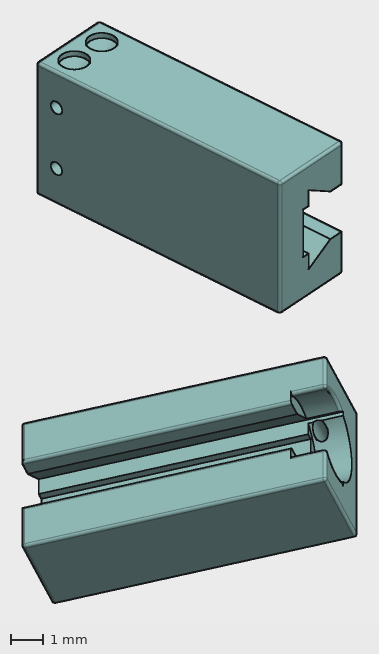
import cadquery as cq
import math

LENGTH = 10.0
WIDTH = 3.0
HEIGHT = 5.0
EDGE_RADIUS = 0.1

MOUTH_HALF_HEIGHT = 0.9
MOUTH_END_Y = 0.9
DOVETAIL_ANGLE = 30.0
DOVETAIL_BASE_Y = -0.13
GROOVE_FLOOR_Y = -0.38

SEAT_RADIUS = 1.5
SEAT_CENTRE_Y = 0.55
SEAT_DEPTH = 1.15

HOLE_INSET = 0.84

DIMPLE_SPACING = 1.3
DIMPLE_RADIUS = 0.5
DIMPLE_WALL_DEPTH = 0.2
DIMPLE_POINT_ANGLE = 118.0

CROSS_HOLE_SPACING = 2.3
CROSS_HOLE_RADIUS = 0.23

OUTER_Y = WIDTH / 2
FRONT_X = -LENGTH / 2
HOLE_X = FRONT_X + HOLE_INSET
TOLERANCE = 1e-3


def make_channel():
    """Dovetail channel with a shallow relief groove in its floor."""
    base_half_height = MOUTH_HALF_HEIGHT + (MOUTH_END_Y - DOVETAIL_BASE_Y) * math.tan(
        math.radians(DOVETAIL_ANGLE)
    )
    upper = [
        (OUTER_Y, MOUTH_HALF_HEIGHT),
        (MOUTH_END_Y, MOUTH_HALF_HEIGHT),
        (DOVETAIL_BASE_Y, base_half_height),
        (DOVETAIL_BASE_Y, MOUTH_HALF_HEIGHT),
        (GROOVE_FLOOR_Y, MOUTH_HALF_HEIGHT),
    ]
    lower = [(y, -z) for y, z in reversed(upper)]
    return cq.Workplane("YZ").polyline(upper + lower).close().extrude(LENGTH / 2, both=True)


def make_seat():
    """Cylinder along X, removed from the -X end."""
    return (
        cq.Workplane("YZ", origin=(FRONT_X, SEAT_CENTRE_Y, 0))
        .circle(SEAT_RADIUS)
        .extrude(SEAT_DEPTH)
    )


def make_dimple(y):
    """Short cylinder with a drill point, sunk from the top face."""
    point_depth = DIMPLE_RADIUS / math.tan(math.radians(DIMPLE_POINT_ANGLE / 2))
    return (
        cq.Workplane("XZ")
        .polyline(
            [
                (0, 0),
                (DIMPLE_RADIUS, 0),
                (DIMPLE_RADIUS, -DIMPLE_WALL_DEPTH),
                (0, -DIMPLE_WALL_DEPTH - point_depth),
            ]
        )
        .close()
        .revolve(360, (0, 0), (0, 1))
        .translate((HOLE_X, y, HEIGHT / 2))
    )


def make_cross_hole(z):
    """Round hole along Y, ending inside the seat."""
    return (
        cq.Workplane("XZ", origin=(HOLE_X, SEAT_CENTRE_Y, z))
        .circle(CROSS_HOLE_RADIUS)
        .extrude(SEAT_CENTRE_Y + OUTER_Y)
    )


def is_rounded(edge):
    """True for the block's outer edges, the lengthwise lips on +Y and the seat rim beside the lips."""
    centre = edge.Center()
    on_end = abs(centre.x) > LENGTH / 2 - TOLERANCE
    on_side = abs(centre.y) > WIDTH / 2 - TOLERANCE
    on_top_or_bottom = abs(centre.z) > HEIGHT / 2 - TOLERANCE
    on_block_corner = [on_end, on_side, on_top_or_bottom].count(True) >= 2

    runs_along_x = edge.BoundingBox().xlen > TOLERANCE
    on_lip = centre.y > OUTER_Y - TOLERANCE and runs_along_x

    on_front = centre.x < FRONT_X + TOLERANCE
    on_seat_rim = edge.geomType() == "CIRCLE" and on_front and centre.y > DOVETAIL_BASE_Y
    return on_block_corner or on_lip or on_seat_rim


def make_body():
    """Block with its channel and seat, edges rounded."""
    sharp = cq.Workplane("XY").box(LENGTH, WIDTH, HEIGHT).cut(make_channel()).cut(make_seat())
    rounded_edges = [edge for edge in sharp.edges().vals() if is_rounded(edge)]
    return sharp.newObject(rounded_edges).fillet(EDGE_RADIUS)


result = make_body()
for side in (-1, 1):
    result = result.cut(make_dimple(side * DIMPLE_SPACING / 2))
    result = result.cut(make_cross_hole(side * CROSS_HOLE_SPACING / 2))